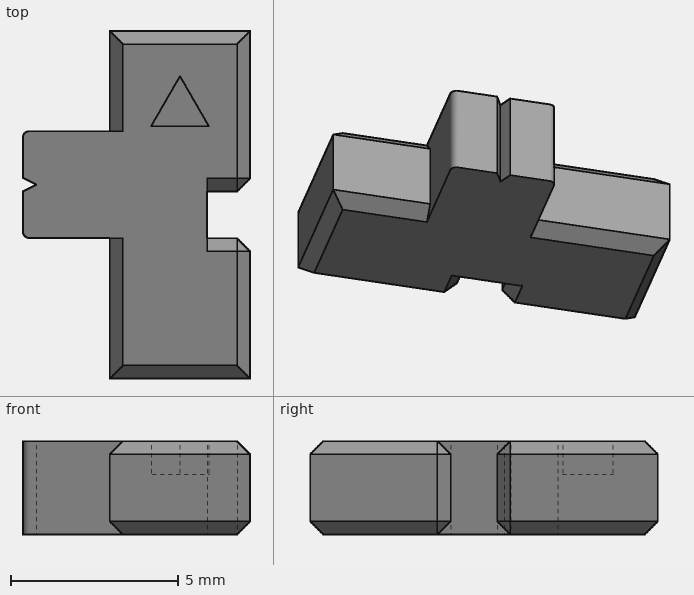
import cadquery as cq
import math

bar_length = 10.4
bar_width = 4.2
thickness = 2.8
bevel = 0.4

tongue_reach = 2.6
tongue_width = 3.2
tongue_center_y = 0.6
tongue_corner_radius = 0.2
groove_width = 0.41
groove_depth = 0.41

slot_width = 1.39
slot_depth = 1.29
slot_center_y = -0.3

arrow_side = 1.73
arrow_base_y = 2.35
arrow_depth = 1.0

side_x = bar_width / 2
tip_x = -side_x - tongue_reach
slot_floor_x = side_x - slot_depth
mid_z = thickness / 2
tolerance = 0.001


def make_bar():
    """Slotted bar with bevelled rims; only the slot floor keeps sharp edges."""
    slot = (
        cq.Workplane("XY")
        .box(slot_depth, slot_width, thickness, centered=(False, True, False))
        .translate((slot_floor_x, slot_center_y, 0))
    )
    bar = (
        cq.Workplane("XY")
        .box(bar_width, bar_length, thickness, centered=(True, True, False))
        .cut(slot)
    )
    slot_floor = cq.selectors.BoxSelector(
        (slot_floor_x - tolerance, slot_center_y - tolerance, -tolerance),
        (slot_floor_x + tolerance, slot_center_y + tolerance, thickness + tolerance),
    )
    slot_mouth = cq.selectors.BoxSelector(
        (side_x - tolerance, slot_center_y - slot_width, mid_z - tolerance),
        (side_x + tolerance, slot_center_y + slot_width, mid_z + tolerance),
    )
    rims = bar.faces("<Z or >Z").edges()
    bevelled = rims.edges(cq.selectors.SubtractSelector(cq.selectors.Selector(), slot_floor))
    bevelled = bevelled.add(bar.edges(slot_mouth))
    return bevelled.chamfer(bevel)


def make_tongue():
    """Full-height tongue with rounded outer corners and a V groove in its end."""
    root_x = -side_x + bevel
    tongue = (
        cq.Workplane("XY")
        .box(root_x - tip_x, tongue_width, thickness, centered=(False, True, False))
        .translate((tip_x, tongue_center_y, 0))
        .edges("|Z and <X")
        .fillet(tongue_corner_radius)
    )
    groove = (
        cq.Workplane("XY")
        .moveTo(tip_x, tongue_center_y - groove_width / 2)
        .lineTo(tip_x + groove_depth, tongue_center_y)
        .lineTo(tip_x, tongue_center_y + groove_width / 2)
        .close()
        .extrude(thickness)
    )
    return tongue.cut(groove)


def make_arrow_pocket():
    """Equilateral prism reaching down from the top face."""
    arrow_height = arrow_side * math.sqrt(3) / 2
    return (
        cq.Workplane("XY", origin=(0, arrow_base_y, thickness))
        .moveTo(-arrow_side / 2, 0)
        .lineTo(arrow_side / 2, 0)
        .lineTo(0, arrow_height)
        .close()
        .extrude(-arrow_depth)
    )


result = make_bar().union(make_tongue()).cut(make_arrow_pocket())